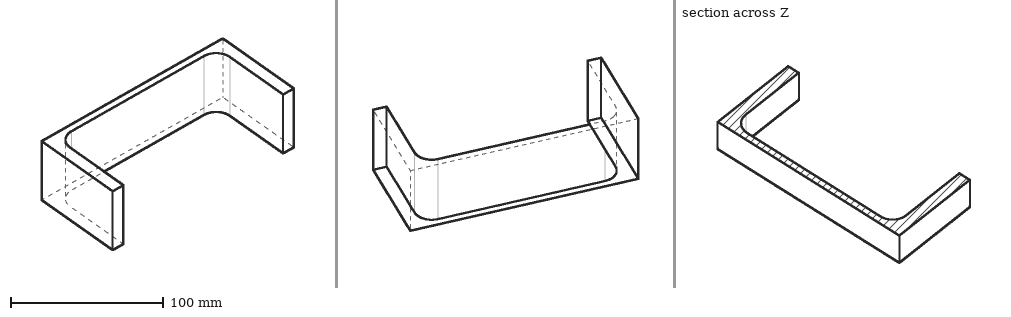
import cadquery as cq

flange_width = 70.0
channel_height = 160.0
length = 50.0

web_thickness = 5.5
flange_thickness = 9.5
root_radius = 12.0

outer_y = channel_height / 2
inner_y = outer_y - flange_thickness


def channel_blank():
    """Sharp-cornered C section, open toward +X, extruded along Z."""
    outline = [
        (0, -outer_y),
        (flange_width, -outer_y),
        (flange_width, -inner_y),
        (web_thickness, -inner_y),
        (web_thickness, inner_y),
        (flange_width, inner_y),
        (flange_width, outer_y),
        (0, outer_y),
    ]
    return cq.Workplane("XY").polyline(outline).close().extrude(length)


def round_roots(channel):
    """Fillet the two inner corners where the web meets the flanges."""
    root_corners = [(web_thickness, side * inner_y, length / 2) for side in (-1, 1)]
    for corner in root_corners:
        channel = channel.edges(cq.selectors.NearestToPointSelector(corner)).fillet(root_radius)
    return channel


result = round_roots(channel_blank())